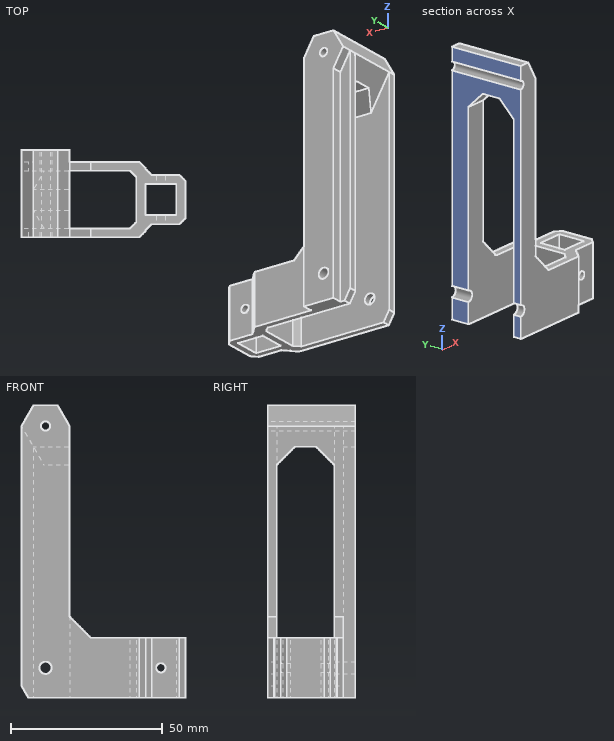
import cadquery as cq
import math

height = 96.9
length = 54.4
fork_width = 25.0
flange_thickness = 4.0
leg_width = 16.0
leg_thickness = 3.0
arm_height = 20.0
small_chamfer = 2.0
elbow_gusset = 7.0

bevel_angle = 60
bevel_slope = math.tan(math.radians(bevel_angle))
cap_bevel = 4.0
cap_bevel_height = cap_bevel * bevel_slope
cap_depth = 2 * cap_bevel_height
cap_gusset = 6.0
foot_bevel_height = 4.0
foot_bevel = foot_bevel_height / bevel_slope

socket_opening = 10.2
socket_wall = 3.1
socket_width = socket_opening + 2 * socket_wall
socket_start = length - socket_wall - socket_opening
cavity_end = socket_start - socket_wall

pivot_diameter = 4.0
pin_diameter = 3.0

full_width = fork_width + flange_thickness
middle_y = fork_width / 2
slot_start = leg_thickness
slot_end = fork_width - leg_thickness
pin_x = leg_width / 2
cap_bottom = height - cap_depth
cap_corner = height - cap_bevel_height


def extrude_along_y(points, start, end):
    """Extrude an XZ outline between two Y positions."""
    plane = cq.Plane(origin=(0, start, 0), xDir=(1, 0, 0), normal=(0, -1, 0))
    return cq.Workplane(plane).polyline(points).close().extrude(start - end)


def box_between(low, high):
    """Axis-aligned box from its two opposite corners."""
    sizes = [b - a for a, b in zip(low, high)]
    return cq.Workplane("XY").box(*sizes, centered=False).translate(low)


def make_legs():
    """L-shaped side outline with its plan trimmed and hollowed into a fork."""
    side = extrude_along_y(
        [
            (foot_bevel, 0),
            (socket_start, 0),
            (socket_start, arm_height),
            (leg_width + elbow_gusset, arm_height),
            (leg_width, arm_height + elbow_gusset),
            (leg_width, cap_corner),
            (leg_width - cap_bevel, height),
            (cap_bevel, height),
            (0, cap_corner),
            (0, foot_bevel_height),
        ],
        0,
        fork_width,
    )
    side = side.edges("|Z and >X").chamfer(small_chamfer)
    slot = box_between((0, slot_start, 0), (cavity_end, slot_end, height))
    slot = slot.edges("|Z and >X").chamfer(small_chamfer)
    return side.cut(slot)


def make_socket():
    """Square tube with outer chamfers and a flared root."""
    half = socket_width / 2
    end_half = half - small_chamfer
    root_half = half + small_chamfer
    root_end = socket_start + small_chamfer
    upper_edge = [
        (cavity_end, end_half),
        (socket_start, end_half),
        (socket_start, root_half),
        (root_end, half),
        (length - small_chamfer, half),
        (length, end_half),
    ]
    lower_edge = [(x, -y) for x, y in reversed(upper_edge)]
    outline = cq.Workplane("XY").polyline(upper_edge + lower_edge).close().extrude(arm_height)
    return outline.translate((0, middle_y, 0))


def make_cap_bridge():
    """Top bridge between the legs, bevelled below and braced at both legs."""
    bottom = cap_bottom - cap_gusset
    bevel_end = (cap_corner - bottom) / bevel_slope
    profile = [
        (bevel_end, bottom),
        (leg_width, bottom),
        (leg_width, cap_corner),
        (leg_width - cap_bevel, height),
        (cap_bevel, height),
        (0, cap_corner),
    ]
    bridge = extrude_along_y(profile, slot_start, slot_end)
    window = (
        cq.Workplane("YZ")
        .polyline(
            [
                (slot_start, bottom),
                (slot_start + cap_gusset, cap_bottom),
                (slot_end - cap_gusset, cap_bottom),
                (slot_end, bottom),
            ]
        )
        .close()
        .extrude(leg_width)
    )
    return bridge.cut(window)


def make_flange():
    """Recessed strip on the +Y leg, with the cap overhanging its front edge."""
    profile = [
        (cap_bevel, 0),
        (leg_width, 0),
        (leg_width, cap_corner),
        (leg_width - cap_bevel, height),
        (cap_bevel, height),
        (0, cap_corner),
        (cap_bevel, cap_bottom),
    ]
    return extrude_along_y(profile, fork_width, full_width)


def pin_hole(x, z, diameter):
    """Round cutter passing through the whole width along Y."""
    return cq.Workplane("XZ").center(x, z).circle(diameter / 2).extrude(-full_width)


result = make_legs().union(make_socket())
result = result.union(make_cap_bridge()).union(make_flange())

opening_low = (socket_start, middle_y - socket_opening / 2, 0)
opening_high = (length - socket_wall, middle_y + socket_opening / 2, arm_height)
result = result.cut(box_between(opening_low, opening_high))

holes = [
    (pin_x, arm_height / 2, pivot_diameter),
    (pin_x, cap_corner, pin_diameter),
    (socket_start + socket_opening / 2, arm_height / 2, pin_diameter),
]
for x, z, diameter in holes:
    result = result.cut(pin_hole(x, z, diameter))